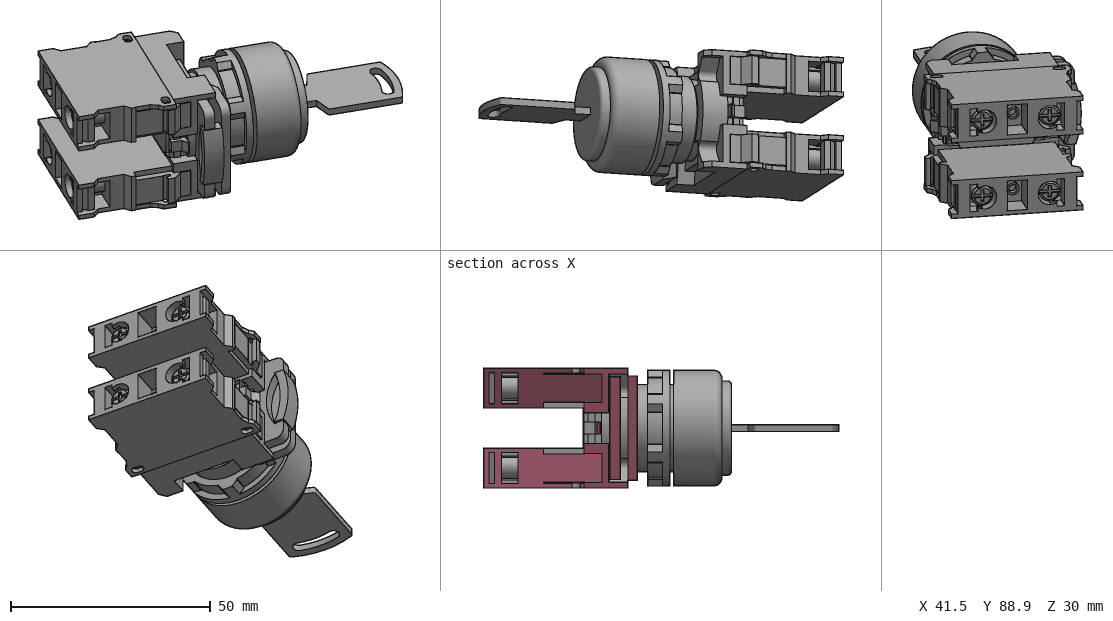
import cadquery as cq
import math


JOINT_Y = 25.1
RING_Y = 31.4
BASE_TOP_Y = 36.1
LEVER_TOP_Y = 38.5
NUT_Y = 41.1
FLANGE_Y = 44.8
NUT_TOP_Y = 46.6
HEAD_Y = 47.6
HEAD_TOP_Y = 59.7
CAP_TOP_Y = 62.1
KEY_TOP_Y = 88.9

HEAD_R = 14.5
HEAD_ROUND = 2.1
CAP_R = 11.8
CAP_ROUND = 1.1
SLEEVE_R = 10.9
SPIGOT_R = 10.2
SPIGOT_SHOULDER_Y = 36.6
SPIGOT_END_Y = 34.2
NUT_CORE_R = 12.8
NUT_TEETH = 6
TOOTH_TIP_HALF = 1.3
TOOTH_ROOT_HALF = 2.7

KEY_X = 1.0
KEY_HALF_WIDTH = 9.0
KEY_THICK = 1.8
KEY_NECK_HALF = 4.0
KEY_NECK_Y = 66.2
KEY_SHOULDER_Y = 67.85
KEY_TOP_R = 23.6
KEY_CORNER_R = 0.7
KEY_SLOT_R = 19.9
KEY_SLOT_HALF_WIDTH = 1.5
KEY_SLOT_HALF_ANGLE = math.radians(14.5)

HEIGHT = 30.0
BLOCK_TOP_Z = HEIGHT / 2
BLOCK_LOW_Z = 5.0
BLOCK_MID_Z = (BLOCK_TOP_Z + BLOCK_LOW_Z) / 2
CORE_HALF = 14.9
PANEL_HALF = 16.6
FOOT_HALF = 16.8
WAIST_HALF = 15.2
EAR_HALF = 18.5
EAR_Y0 = 18.8
EAR_BEND_X = 17.4
EAR_BEND_Y = 20.6
EAR_Y1 = 21.8
EAR_ROOT_X = 13.25
EAR_LOW_Z = 13.8
FOOT_STEP_Y = 15.0
WAIST_TOP_Y = 13.8
WAIST_Y0 = 5.5
WAIST_Y1 = 12.3
LIP_Y = 4.0
LIP_CUT_Y0 = 1.4
LIP_CUT_Y1 = 2.9
LIP_GROOVE_X = 14.05
SLOT_Y0 = 22.1
SLOT_Y1 = 24.2
SLOT_X0 = 14.1
SLOT_X1 = 17.25
SLOT_THROUGH_X = 16.45
HOOK_HALF_Z = 3.6
HOOK_OUT_X = 16.4
HOOK_IN_X = CORE_HALF
HOOK_TIP_Y = 29.5
HOOK_RAMP_Y = 26.9
HOOK_STEP_Y = 22.9
HOOK_FLAT = 0.45
WIRE_HALF_Z = 3.8
WIRE_Y0 = 4.5
WIRE_Y1 = 8.6
SCREW_X = 8.6
SCREW_R = 2.7
SCREW_TOP_Y = 1.3
SCREW_CHAMFER = 0.5
SCREW_SLOT_WIDTH = 0.8
SCREW_SLOT_DEPTH = 0.7
CROSS_LENGTH = 3.0
BORE_X = 8.4
BORE_R = 3.0
CLAMP_X0 = 10.1
CLAMP_X1 = 12.1
CLAMP_HALF_Z = 3.6
WELL_HALF_X = 2.6
WELL_HALF_Z = 3.9
WELL_DEPTH = 7.1
WELL_PIN_R = 1.6
WELL_PIN_BORE_R = 1.1
WELL_PIN_LENGTH = 1.8

BASE_HALF = 16.0
BASE_HALF_Z = BLOCK_TOP_Z
RING_R = 14.2
PLATE_IN_Z = 13.5
FLARE_OUT_X = 13.5
FLARE_Z = 10.1
FLARE_X = 10.85
HOLLOW_X = 10.8
HOLLOW_Z = 8.8
RING_EDGE_Z = 7.65
CORNER_X = 1.4
CORNER_Y = 1.8
POCKET_X0 = -10.0
POCKET_X1 = 7.0
POCKET_FLOOR_X1 = 5.3
STEP_X0 = -7.5
STEP_X1 = 6.3
STEP_Z = 11.65
POCKET_Y = 31.6
POCKET_FLOOR_Z = 7.1
GAP_HALF_Z = 3.8
GAP_IN_X = 12.8
GAP_TOP_Y = 29.5
CLIP_HALF_Z = 1.5
CLIP_STEM_Y = 29.3
CLIP_TIP_Y = 29.1
CLIP_STEM_X = 14.2
CLIP_NOSE_Y = 27.8
CLIP_BAR_Y = 26.15
CLIP_BAR_X = 13.25
FACE_HALF_X = 12.4
FACE_HALF_Z = 4.2
FACE_DEPTH = 1.3
BOSS_R = 10.5
BOSS_PROUD = 0.2

ARM_HALF_Z = 13.1
ARM_END_X = 20.9
ARM_START_X = 7.4
ARM_SLANT_X = 10.9
ARM_ROUND = 2.7
TAB_HALF_Z = 12.9
TAB_END_X = 21.3
TAB_Y0 = 31.6
TAB_Y1 = 34.2
TAB_START_X = 10.7
TAB_ROUND = 2.1
GRIP_R = 23.0
GRIP_INNER_R = 20.7
GRIP_HALF_Z = 7.9
GRIP_Y = 31.0
DISH_R = 14.7
DISH_EDGE_X = 16.45


def box(x0, x1, y0, y1, z0, z1):
    """Box between two corners."""
    return cq.Workplane("XY").box(x1 - x0, y1 - y0, z1 - z0, centered=False).translate((x0, y0, z0))


def rod(radius, y0, y1, x=0.0, z=0.0):
    """Cylinder along Y."""
    return cq.Workplane(cq.Solid.makeCylinder(radius, y1 - y0, cq.Vector(x, y0, z), cq.Vector(0, 1, 0)))


def prism_z(points, z0, z1):
    """Polygon in X and Y, extruded between two heights."""
    return cq.Workplane("XY", origin=(0, 0, z0)).polyline(points).close().extrude(z1 - z0)


def both_sides(body):
    """A body together with its mirror image across X = 0."""
    return body.union(body.mirror("YZ"))


def make_key():
    centre_y = KEY_TOP_Y - KEY_TOP_R
    corner_y = centre_y + math.sqrt(KEY_TOP_R**2 - KEY_HALF_WIDTH**2)
    blade = (
        cq.Workplane("XY", origin=(KEY_X, 0, -KEY_THICK / 2))
        .moveTo(-KEY_NECK_HALF, KEY_NECK_Y)
        .lineTo(-KEY_HALF_WIDTH, KEY_SHOULDER_Y)
        .lineTo(-KEY_HALF_WIDTH, corner_y)
        .threePointArc((0, KEY_TOP_Y), (KEY_HALF_WIDTH, corner_y))
        .lineTo(KEY_HALF_WIDTH, KEY_SHOULDER_Y)
        .lineTo(KEY_NECK_HALF, KEY_NECK_Y)
        .close()
        .extrude(KEY_THICK)
    )
    blade = blade.edges("|Z and (<X or >X)").fillet(KEY_CORNER_R)
    half_thick = KEY_THICK / 2
    neck = box(KEY_X - KEY_NECK_HALF, KEY_X + KEY_NECK_HALF, HEAD_TOP_Y, KEY_NECK_Y, -half_thick, half_thick)
    return blade.union(neck).cut(make_key_slot(centre_y))


def make_key_slot(centre_y):
    """Curved slot with round ends, concentric with the top edge of the key."""
    outer_r = KEY_SLOT_R + KEY_SLOT_HALF_WIDTH
    inner_r = KEY_SLOT_R - KEY_SLOT_HALF_WIDTH
    side = math.sin(KEY_SLOT_HALF_ANGLE)
    rise = math.cos(KEY_SLOT_HALF_ANGLE)
    end_x = KEY_SLOT_R * side + KEY_SLOT_HALF_WIDTH * rise
    end_y = KEY_SLOT_R * rise - KEY_SLOT_HALF_WIDTH * side
    return (
        cq.Workplane("XY", origin=(KEY_X, centre_y, -KEY_THICK))
        .moveTo(-outer_r * side, outer_r * rise)
        .threePointArc((0, outer_r), (outer_r * side, outer_r * rise))
        .threePointArc((end_x, end_y), (inner_r * side, inner_r * rise))
        .threePointArc((0, inner_r), (-inner_r * side, inner_r * rise))
        .threePointArc((-end_x, end_y), (-outer_r * side, outer_r * rise))
        .close()
        .extrude(2 * KEY_THICK)
    )


def make_nut():
    tooth_length = FLANGE_Y - NUT_Y
    nut = rod(HEAD_R, FLANGE_Y, NUT_TOP_Y).union(rod(NUT_CORE_R, NUT_Y, FLANGE_Y))
    tooth = (
        cq.Workplane("XZ", origin=(0, FLANGE_Y, 0))
        .polyline(
            [
                (-TOOTH_ROOT_HALF, SLEEVE_R),
                (-TOOTH_ROOT_HALF, NUT_CORE_R),
                (-TOOTH_TIP_HALF, HEAD_R),
                (TOOTH_TIP_HALF, HEAD_R),
                (TOOTH_ROOT_HALF, NUT_CORE_R),
                (TOOTH_ROOT_HALF, SLEEVE_R),
            ]
        )
        .close()
        .extrude(tooth_length)
        .intersect(rod(HEAD_R, NUT_Y, FLANGE_Y))
    )
    for index in range(NUT_TEETH):
        nut = nut.union(tooth.rotate((0, 0, 0), (0, 1, 0), index * 360 / NUT_TEETH))
    return nut


def make_operator():
    head = rod(HEAD_R, HEAD_Y, HEAD_TOP_Y).faces(">Y").edges().fillet(HEAD_ROUND)
    cap = rod(CAP_R, HEAD_TOP_Y, CAP_TOP_Y).faces(">Y").edges().fillet(CAP_ROUND)
    sleeve = rod(SLEEVE_R, SPIGOT_SHOULDER_Y, HEAD_Y)
    spigot = rod(SPIGOT_R, SPIGOT_END_Y, SPIGOT_SHOULDER_Y)
    return head.union(cap).union(sleeve).union(spigot).union(make_nut()).union(make_key())


def make_block_core():
    right_side = [
        (0, 0),
        (FOOT_HALF, 0),
        (FOOT_HALF, LIP_Y),
        (WAIST_HALF, WAIST_Y0),
        (WAIST_HALF, WAIST_Y1),
        (FOOT_HALF, WAIST_TOP_Y),
        (FOOT_HALF, FOOT_STEP_Y),
        (CORE_HALF, FOOT_STEP_Y),
        (CORE_HALF, JOINT_Y),
        (0, JOINT_Y),
    ]
    core = prism_z(right_side, BLOCK_LOW_Z, BLOCK_TOP_Z)
    panel = box(
        0, PANEL_HALF, FOOT_STEP_Y, HOOK_STEP_Y, BLOCK_MID_Z - HOOK_HALF_Z, BLOCK_MID_Z + HOOK_HALF_Z
    )
    return both_sides(core.union(panel))


def make_ear_and_hook():
    """Side ear in the outer wall of the block and the snap hook next to it."""
    ear = prism_z(
        [
            (EAR_ROOT_X, FOOT_STEP_Y),
            (PANEL_HALF, FOOT_STEP_Y),
            (PANEL_HALF, EAR_Y0),
            (EAR_BEND_X, EAR_BEND_Y),
            (EAR_HALF, EAR_Y1),
            (EAR_HALF, JOINT_Y),
            (EAR_ROOT_X, JOINT_Y),
        ],
        EAR_LOW_Z,
        BLOCK_TOP_Z,
    )
    hook = prism_z(
        [
            (HOOK_IN_X, HOOK_STEP_Y),
            (EAR_HALF, HOOK_STEP_Y),
            (EAR_HALF, JOINT_Y - HOOK_FLAT),
            (HOOK_OUT_X, HOOK_RAMP_Y),
            (HOOK_OUT_X, HOOK_TIP_Y),
            (HOOK_IN_X, HOOK_TIP_Y),
        ],
        BLOCK_MID_Z - HOOK_HALF_Z,
        BLOCK_MID_Z + HOOK_HALF_Z,
    )
    return ear, hook


def make_contact_block():
    core = make_block_core()
    ear, hook = make_ear_and_hook()
    slot = (
        cq.Workplane("XY", origin=((SLOT_X0 + SLOT_X1) / 2, (SLOT_Y0 + SLOT_Y1) / 2, 0))
        .slot2D(SLOT_X1 - SLOT_X0, SLOT_Y1 - SLOT_Y0)
        .extrude(BLOCK_TOP_Z)
    )
    ear_slot = slot.intersect(box(0, EAR_HALF, 0, JOINT_Y, EAR_LOW_Z, BLOCK_TOP_Z))
    outer_slot = slot.intersect(box(SLOT_THROUGH_X, EAR_HALF, 0, JOINT_Y, 0, BLOCK_TOP_Z))
    block = core.union(both_sides(ear.union(hook))).cut(both_sides(ear_slot.union(outer_slot)))
    block = block.cut(both_sides(make_terminal_cavity()))
    block = block.union(both_sides(make_screw()))
    return block.cut(make_well()).union(make_well_pin())


def make_terminal_cavity():
    """Screw bore, clamp window, side wire entry and cut-back lip of one terminal."""
    bore = rod(BORE_R, 0, WIRE_Y1, BORE_X, BLOCK_MID_Z)
    clamp = box(SCREW_X, CLAMP_X1, 0, WIRE_Y1, BLOCK_MID_Z - CLAMP_HALF_Z, BLOCK_MID_Z + CLAMP_HALF_Z)
    clamp = clamp.cut(box(SCREW_X, CLAMP_X0, 0, SCREW_TOP_Y, BLOCK_LOW_Z, BLOCK_TOP_Z))
    wire = box(SCREW_X, FOOT_HALF, WIRE_Y0, WIRE_Y1, BLOCK_MID_Z - WIRE_HALF_Z, BLOCK_MID_Z + WIRE_HALF_Z)
    lip = prism_z(
        [
            (WAIST_HALF, 0),
            (WAIST_HALF, LIP_CUT_Y0),
            (LIP_GROOVE_X, LIP_CUT_Y0),
            (WAIST_HALF, LIP_CUT_Y1),
            (WAIST_HALF, WAIST_Y0),
            (FOOT_HALF, WAIST_Y0),
            (FOOT_HALF, 0),
        ],
        BLOCK_MID_Z - WIRE_HALF_Z,
        BLOCK_MID_Z + WIRE_HALF_Z,
    )
    return bore.union(clamp).union(wire).union(lip)


def make_screw():
    """Cross-slotted terminal screw standing on the floor of its cavity."""
    screw = rod(SCREW_R, SCREW_TOP_Y, WIRE_Y1, SCREW_X, BLOCK_MID_Z).faces("<Y").chamfer(SCREW_CHAMFER)
    for length, height in ((2 * SCREW_R, SCREW_SLOT_WIDTH), (SCREW_SLOT_WIDTH, CROSS_LENGTH)):
        groove = box(
            SCREW_X - length / 2,
            SCREW_X + length / 2,
            SCREW_TOP_Y,
            SCREW_TOP_Y + SCREW_SLOT_DEPTH,
            BLOCK_MID_Z - height / 2,
            BLOCK_MID_Z + height / 2,
        )
        screw = screw.cut(groove)
    return screw


def make_well():
    return box(-WELL_HALF_X, WELL_HALF_X, 0, WELL_DEPTH, BLOCK_MID_Z - WELL_HALF_Z, BLOCK_MID_Z + WELL_HALF_Z)


def make_well_pin():
    """Hollow pin on the floor of the central well."""
    pin = rod(WELL_PIN_R, WELL_DEPTH - WELL_PIN_LENGTH, WELL_DEPTH, 0, BLOCK_MID_Z)
    return pin.cut(rod(WELL_PIN_BORE_R, WELL_DEPTH - WELL_PIN_LENGTH, WELL_DEPTH, 0, BLOCK_MID_Z))


def make_base_ring():
    """Waisted front part: a round ring that flares out to the two flat plates."""
    edge_x = math.sqrt(RING_R**2 - RING_EDGE_Z**2)
    ring = (
        cq.Workplane("XZ", origin=(0, BASE_TOP_Y, 0))
        .moveTo(0, BASE_HALF_Z)
        .lineTo(BASE_HALF, BASE_HALF_Z)
        .lineTo(BASE_HALF, PLATE_IN_Z)
        .lineTo(FLARE_OUT_X, PLATE_IN_Z)
        .lineTo(FLARE_X, FLARE_Z)
        .threePointArc((HOLLOW_X, HOLLOW_Z), (edge_x, RING_EDGE_Z))
        .threePointArc((RING_R, 0), (edge_x, -RING_EDGE_Z))
        .threePointArc((HOLLOW_X, -HOLLOW_Z), (FLARE_X, -FLARE_Z))
        .lineTo(FLARE_OUT_X, -PLATE_IN_Z)
        .lineTo(BASE_HALF, -PLATE_IN_Z)
        .lineTo(BASE_HALF, -BASE_HALF_Z)
        .lineTo(0, -BASE_HALF_Z)
        .close()
        .extrude(BASE_TOP_Y - RING_Y)
    )
    corner = prism_z(
        [
            (-BASE_HALF, BASE_TOP_Y),
            (-BASE_HALF, BASE_TOP_Y - CORNER_Y),
            (-BASE_HALF + CORNER_X, BASE_TOP_Y),
        ],
        -BASE_HALF_Z,
        BASE_HALF_Z,
    )
    return both_sides(ring).cut(corner)


def make_base_body():
    body = box(-BASE_HALF, BASE_HALF, JOINT_Y, RING_Y, -BASE_HALF_Z, BASE_HALF_Z)
    gap = box(GAP_IN_X, BASE_HALF, JOINT_Y, RING_Y, -GAP_HALF_Z, GAP_HALF_Z)
    gap = gap.cut(rod(RING_R, GAP_TOP_Y, RING_Y))
    window = box(
        HOOK_IN_X, BASE_HALF, JOINT_Y, HOOK_TIP_Y, BLOCK_MID_Z - HOOK_HALF_Z, BLOCK_MID_Z + HOOK_HALF_Z
    )
    body = body.cut(both_sides(gap.union(window).union(window.mirror("XY"))))
    return body.union(both_sides(make_clip()))


def make_clip():
    """Small snap clip in the gap of a side wall."""
    stem = prism_z(
        [
            (GAP_IN_X, JOINT_Y),
            (CLIP_STEM_X, JOINT_Y),
            (CLIP_STEM_X, CLIP_NOSE_Y),
            (BASE_HALF, CLIP_TIP_Y),
            (BASE_HALF, CLIP_STEM_Y),
            (GAP_IN_X, CLIP_STEM_Y),
        ],
        -CLIP_HALF_Z,
        CLIP_HALF_Z,
    )
    bar = box(GAP_IN_X, CLIP_BAR_X, CLIP_BAR_Y, CLIP_NOSE_Y, -GAP_HALF_Z, GAP_HALF_Z)
    return stem.union(bar)


def make_lever():
    """Locking lever: an arm beside the sleeve, a tab and a curved grip rim."""
    arm = prism_z(
        [
            (ARM_START_X, BASE_TOP_Y),
            (ARM_SLANT_X, LEVER_TOP_Y),
            (ARM_END_X, LEVER_TOP_Y),
            (ARM_END_X, BASE_TOP_Y),
        ],
        -ARM_HALF_Z,
        ARM_HALF_Z,
    )
    arm = arm.edges("|Y and >X").fillet(ARM_ROUND)
    tab = box(TAB_START_X, TAB_END_X, TAB_Y0, TAB_Y1, -TAB_HALF_Z, TAB_HALF_Z)
    tab = tab.edges("|Y and >X").fillet(TAB_ROUND)
    grip_zone = box(0, GRIP_R, GRIP_Y, BASE_TOP_Y, -GRIP_HALF_Z, GRIP_HALF_Z)
    dish = rod(DISH_R, GRIP_Y, BASE_TOP_Y, DISH_EDGE_X + DISH_R).intersect(grip_zone)
    tab = tab.cut(dish)
    rim = rod(GRIP_R, GRIP_Y, BASE_TOP_Y).cut(rod(GRIP_INNER_R, GRIP_Y, TAB_Y1))
    return arm.union(tab).union(rim.intersect(dish))


def make_pocket():
    """Opening in a flat plate of the base, with one sloped wall and a raised step at the back."""
    pocket = (
        cq.Workplane("XZ", origin=(0, BASE_TOP_Y, 0))
        .polyline(
            [
                (POCKET_X0, BASE_HALF_Z),
                (POCKET_X1, BASE_HALF_Z),
                (POCKET_FLOOR_X1, POCKET_FLOOR_Z),
                (POCKET_X0, POCKET_FLOOR_Z),
            ]
        )
        .close()
        .extrude(BASE_TOP_Y - POCKET_Y)
    )
    return pocket.cut(box(STEP_X0, STEP_X1, POCKET_Y, SPIGOT_END_Y, 0, STEP_Z))


def make_base():
    base = make_base_body().union(make_base_ring())
    pocket = make_pocket()
    face = box(-FACE_HALF_X, FACE_HALF_X, JOINT_Y, JOINT_Y + FACE_DEPTH, -FACE_HALF_Z, FACE_HALF_Z)
    boss = rod(BOSS_R, JOINT_Y - BOSS_PROUD, JOINT_Y + FACE_DEPTH)
    boss = boss.intersect(box(-BOSS_R, BOSS_R, 0, BASE_TOP_Y, -BLOCK_LOW_Z, BLOCK_LOW_Z))
    base = base.cut(pocket).cut(pocket.mirror("XY")).cut(face).union(boss).union(make_lever())
    sleeve_hole = rod(SLEEVE_R, SPIGOT_SHOULDER_Y, LEVER_TOP_Y)
    spigot_hole = rod(SPIGOT_R, SPIGOT_END_Y, SPIGOT_SHOULDER_Y)
    return base.cut(sleeve_hole).cut(spigot_hole)


operator = make_operator()
base = make_base()
upper_block = make_contact_block()
contact_blocks = [upper_block, upper_block.mirror("XY")]

result = cq.Compound.makeCompound(
    [
        operator.solids().val(),
        base.solids().val(),
        *[block.solids().val() for block in contact_blocks],
    ]
)